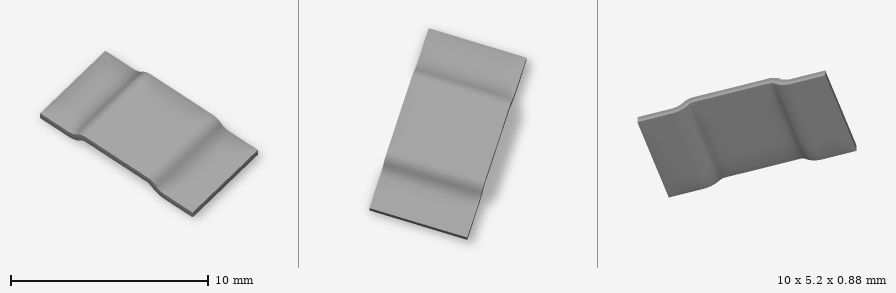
import cadquery as cq
import math

length = 10.0
width = 5.2
thickness = 0.4
center_length = 4.0
step_height = 0.48

bend_angle = math.radians(44)
top_radius = 0.82
lower_bottom_radius = top_radius + thickness
upper_bottom_radius = top_radius - thickness

bend_rise = top_radius * (1 - math.cos(bend_angle))
ramp_rise = step_height - 2 * bend_rise
ramp_run = ramp_rise / math.tan(bend_angle)
joggle_run = 2 * top_radius * math.sin(bend_angle) + ramp_run

half_length = length / 2
joint_x = -center_length / 2
total_height = step_height + thickness
lower_center = (joint_x - joggle_run, thickness + top_radius)
upper_center = (joint_x, total_height - top_radius)


def below(center, radius, angle):
    """Point on an arc, turned by angle from straight below its center."""
    return (center[0] + radius * math.sin(angle), center[1] - radius * math.cos(angle))


def above(center, radius, angle):
    """Point on an arc, turned back by angle from straight above its center."""
    return (center[0] - radius * math.sin(angle), center[1] + radius * math.cos(angle))


def make_center_plate():
    plate = cq.Workplane("XY").box(center_length, width, thickness, centered=(True, True, False))
    return plate.translate((0, 0, step_height))


def make_end_tab():
    """Left end: a flat tab and a joggle of constant thickness up to the center plate."""
    half_bend = bend_angle / 2
    return (
        cq.Workplane("XZ")
        .moveTo(-half_length, 0)
        .lineTo(*below(lower_center, lower_bottom_radius, 0))
        .threePointArc(
            below(lower_center, lower_bottom_radius, half_bend),
            below(lower_center, lower_bottom_radius, bend_angle),
        )
        .lineTo(*above(upper_center, upper_bottom_radius, bend_angle))
        .threePointArc(
            above(upper_center, upper_bottom_radius, half_bend),
            above(upper_center, upper_bottom_radius, 0),
        )
        .lineTo(joint_x, total_height)
        .threePointArc(
            above(upper_center, top_radius, half_bend),
            above(upper_center, top_radius, bend_angle),
        )
        .lineTo(*below(lower_center, top_radius, bend_angle))
        .threePointArc(
            below(lower_center, top_radius, half_bend),
            below(lower_center, top_radius, 0),
        )
        .lineTo(-half_length, thickness)
        .close()
        .extrude(width / 2, both=True)
    )


center_plate = make_center_plate()

end_tabs = []
for turn in (0, 180):
    end_tab = make_end_tab().rotate((0, 0, 0), (0, 0, 1), turn)
    end_tabs.append(end_tab.val())

result = cq.Compound.makeCompound([center_plate.val(), *end_tabs])